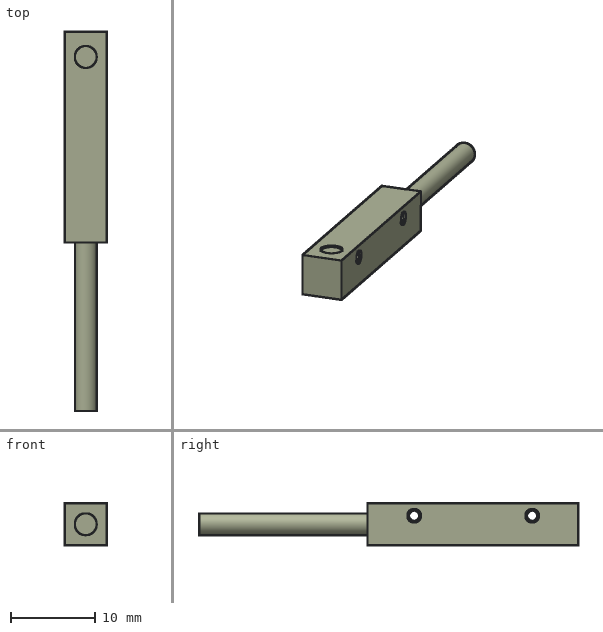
import cadquery as cq

body_side = 5.0
total_length = 45.0
cable_length = 20.0
body_length = total_length - cable_length
cable_diameter = 2.6

hole_diameter = 1.2
countersink_diameter = 1.6
countersink_angle = 90
hole_from_top = 1.5
first_hole_from_end = 5.5
hole_spacing = 14.0

recess_diameter = 2.6
recess_depth = 0.2
recess_from_end = 3.0

half_side = body_side / 2
hole_z = half_side - hole_from_top
first_hole_y = body_length - first_hole_from_end
hole_positions = [first_hole_y, first_hole_y - hole_spacing]


def make_body():
    return cq.Workplane("XY").box(body_side, body_length, body_side, centered=(True, False, True))


def make_cable():
    return cq.Workplane("XZ").circle(cable_diameter / 2).extrude(cable_length)


def cut_cross_holes(part):
    centers = [(y, hole_z) for y in hole_positions]
    for side in (-1, 1):
        face_plane = cq.Plane(origin=(side * half_side, 0, 0), xDir=(0, 1, 0), normal=(side, 0, 0))
        local_centers = [(y, side * z) for y, z in centers]
        part = (
            part.copyWorkplane(cq.Workplane(face_plane))
            .pushPoints(local_centers)
            .cskHole(hole_diameter, countersink_diameter, countersink_angle)
        )
    return part


def make_recess():
    return (
        cq.Workplane("XY", origin=(0, body_length - recess_from_end, half_side))
        .circle(recess_diameter / 2)
        .extrude(-recess_depth)
    )


housing = cut_cross_holes(make_body()).cut(make_recess())
result = housing.union(make_cable())